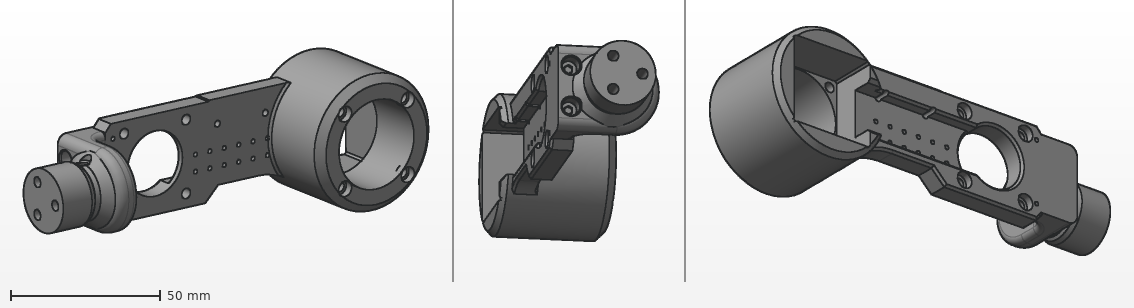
import cadquery as cq
import math


HOUSING_RADIUS = 24.0
HOUSING_LENGTH = 39.0
FRONT_BEVEL = 2.0
BACK_BEVEL = 2.9
POCKET_SIDE = 32.5
POCKET_DEPTH = 18.3
POCKET_CORNER = 0.8
MOTOR_BORE_RADIUS = 15.7
MOTOR_SCREW_OFFSET = 13.1
MOTOR_SCREW_RADIUS = 1.8
MOTOR_HEAD_RADIUS = 2.7
MOTOR_HEAD_DEPTH = 3.0

ARM_FRONT = 3.6
ARM_THICKNESS = 7.9
ARM_BACK = ARM_FRONT + ARM_THICKNESS
ARM_HALF_WIDTH = 18.0
ARM_START = -15.1
ARM_END = -93.0
ARM_END_CHAMFER = 2.7
RIM_CHAMFER = 0.9
NECK_BOTTOM = -12.5
NECK_START = -28.7
NECK_END = -45.8
NECK_BLEND_RADIUS = 22.6
TOP_STEP_Y = -49.8
TOP_STEP = 0.5

GROOVE_HALF_WIDTH = 8.9
GROOVE_DEPTH = 4.7
GROOVE_FLOOR = ARM_FRONT + GROOVE_DEPTH
GROOVE_MOUTH_BEVEL = 1.4

ELBOW_Y = -72.2
ELBOW_BORE_RADIUS = 11.5
ELBOW_SCREW_OFFSET = 13.0
ELBOW_SCREW_RADIUS = 1.8
ELBOW_HEAD_RADIUS = 3.0
ELBOW_HEAD_DEPTH = 3.0
PILOT_RADIUS = 0.8
PILOT_COLUMNS = 6
PILOT_ROWS = 2
PILOT_PITCH = 6.0
PILOT_START_Y = -25.0
LOCATING_Y = -89.8
LOCATING_Z = 12.1
CABLE_HOLE_RADIUS = 1.13
CABLE_HOLE_Z = 9.0
CABLE_HOLE_YS = (-26.0, -46.0)

WRIST_HALF_WIDTH = 14.8
WRIST_DOME_X = 23.7
WRIST_OUTER_Y = -107.2
WRIST_INNER_Y = -99.0
WRIST_OVERLAP_Y = -87.6
WRIST_CORNER_RADIUS = 5.7
WRIST_OUTER_FILLET = 3.6
WRIST_INNER_FILLET = 2.4

SHAFT_X = 22.0
SHAFT_RADIUS = 11.2
SHAFT_END = HOUSING_RADIUS - 151
SHAFT_SEAT = -112.2
SHOULDER_Y = -113.1
SHOULDER_RADIUS = 10.4
SHAFT_BODY_Y = -114.9
SEAT_RADIUS = 9.4
PLUG_RADIUS = 8.9
PLUG_END = -104.2
HUB_ROOT_Y = -106.5
HUB_ROOT_HALF_LENGTH = 14.5
HUB_ROOT_HALF_HEIGHT = 13.5
HUB_NECK_Y = -110.4
HUB_NECK_RADIUS = 10.0
SHAFT_HOLES = 3
SHAFT_HOLE_CIRCLE = 6.6
SHAFT_HOLE_RADIUS = 1.8
SETSCREW_Y = -110.0
SETSCREW_RADIUS = 1.8
SETSCREW_CHAMFER = 0.6
SETSCREW_MOUTH_Z = 10.3

SCREW_X = 8.0
SCREW_ZS = (-7.1, 7.1)
SCREW_WELL_RADIUS = 3.0
SCREW_WELL_CHAMFER = 0.5
SCREW_WELL_DEPTH = 8.2
SCREW_HEAD_RADIUS = 2.7
SCREW_HEAD_HEIGHT = 3.0
SCREW_SHANK_RADIUS = 1.5
SCREW_SHANK_LENGTH = 10.0
SOCKET_CORNER_RADIUS = 1.5
SOCKET_DEPTH = 1.5
SCREW_SEAT_Y = WRIST_OUTER_Y + SCREW_WELL_DEPTH


def x_cylinder(points, radius, x_start, x_end):
    """Cylinders along X, one at each (y, z) point."""
    plane = cq.Workplane("YZ", origin=(x_start, 0, 0))
    return plane.pushPoints(points).circle(radius).extrude(x_end - x_start)


def y_revolved(profile, x, z):
    """Body of revolution about the Y direction through (x, z); profile lists (radius, y)."""
    solid = cq.Workplane("XY").polyline(profile).close().revolve(360, (0, 0, 0), (0, 1, 0))
    return solid.translate((x, 0, z))


def x_countersink(y, large_radius, depth, x_start):
    """45 degree cone along X that narrows from x_start."""
    x_end = x_start + depth
    profile = [(x_start, 0), (x_start, large_radius), (x_end, large_radius - depth), (x_end, 0)]
    cone = cq.Workplane("XY").polyline(profile).close().revolve(360, (0, 0, 0), (1, 0, 0))
    return cone.translate((0, y, 0))


def square_pattern(y, offset):
    return [(y + i * offset, j * offset) for i in (-1, 1) for j in (-1, 1)]


def housing_drum():
    drum = x_cylinder([(0, 0)], HOUSING_RADIUS, 0, HOUSING_LENGTH)
    return drum.faces("<X").chamfer(FRONT_BEVEL).faces(">X").chamfer(BACK_BEVEL)


def motor_cavity():
    cavity = (
        cq.Workplane("YZ")
        .rect(POCKET_SIDE, POCKET_SIDE)
        .extrude(POCKET_DEPTH)
        .edges("|X")
        .chamfer(POCKET_CORNER)
    )
    corners = square_pattern(0, MOTOR_SCREW_OFFSET)
    bore = x_cylinder([(0, 0)], MOTOR_BORE_RADIUS, 0, HOUSING_LENGTH)
    screws = x_cylinder(corners, MOTOR_SCREW_RADIUS, 0, HOUSING_LENGTH)
    heads = x_cylinder(corners, MOTOR_HEAD_RADIUS, HOUSING_LENGTH - MOTOR_HEAD_DEPTH, HOUSING_LENGTH)
    return cavity.union(bore).union(screws).union(heads)


def arm_outline():
    """Side outline of the plate, in Y and Z."""
    blend_center_z = NECK_BOTTOM - NECK_BLEND_RADIUS
    flare = NECK_BOTTOM + ARM_HALF_WIDTH

    def blend_point(y):
        return y, blend_center_z + math.sqrt(NECK_BLEND_RADIUS**2 - (y - NECK_START) ** 2)

    return (
        cq.Workplane("YZ", origin=(ARM_FRONT, 0, 0))
        .moveTo(ARM_START, ARM_HALF_WIDTH)
        .lineTo(ARM_END + ARM_END_CHAMFER, ARM_HALF_WIDTH)
        .lineTo(ARM_END, WRIST_HALF_WIDTH)
        .lineTo(ARM_END, -WRIST_HALF_WIDTH)
        .lineTo(ARM_END + ARM_END_CHAMFER, -ARM_HALF_WIDTH)
        .lineTo(NECK_END - flare, -ARM_HALF_WIDTH)
        .lineTo(NECK_END, NECK_BOTTOM)
        .lineTo(NECK_START, NECK_BOTTOM)
        .threePointArc(blend_point((NECK_START + ARM_START) / 2), blend_point(ARM_START))
        .close()
    )


def arm_plate():
    plate = arm_outline().extrude(ARM_THICKNESS).faces("<X").chamfer(RIM_CHAMFER)
    step_z = ARM_HALF_WIDTH - TOP_STEP
    step = (
        cq.Workplane("YZ")
        .moveTo(TOP_STEP_Y, step_z)
        .lineTo(TOP_STEP_Y + TOP_STEP, ARM_HALF_WIDTH)
        .lineTo(ARM_END, ARM_HALF_WIDTH)
        .lineTo(ARM_END, step_z)
        .close()
        .extrude(HOUSING_LENGTH)
    )
    return plate.cut(step)


def drum_bevel():
    """Small 45 degree bevel where the back of the plate meets the drum."""
    ring = x_countersink(0, HOUSING_RADIUS + RIM_CHAMFER, RIM_CHAMFER, ARM_BACK)
    return ring.intersect(arm_outline().extrude(HOUSING_LENGTH))


def arm_groove():
    """Channel from the motor pocket to the elbow bore, with bevelled rims on drum and arm."""

    def channel(y_start, mouth_x, bevel):
        half = [
            (mouth_x, GROOVE_HALF_WIDTH + bevel),
            (mouth_x + bevel, GROOVE_HALF_WIDTH),
            (GROOVE_FLOOR, GROOVE_HALF_WIDTH),
        ]
        other_half = [(x, -z) for x, z in reversed(half)]
        plane = cq.Workplane("XZ", origin=(0, y_start, 0))
        return plane.polyline(half + other_half).close().extrude(y_start - ELBOW_Y)

    rim_half_width = GROOVE_HALF_WIDTH + RIM_CHAMFER
    drum_edge_y = -math.sqrt(HOUSING_RADIUS**2 - rim_half_width**2)
    return channel(0, 0, GROOVE_MOUTH_BEVEL).union(channel(drum_edge_y, ARM_FRONT, RIM_CHAMFER))


def elbow_openings():
    """Large bore with its ring of counterbored holes; the bore is bevelled at both floor levels."""
    bore = x_cylinder([(ELBOW_Y, 0)], ELBOW_BORE_RADIUS, 0, HOUSING_LENGTH)
    rim_radius = ELBOW_BORE_RADIUS + RIM_CHAMFER
    arm_bevel = x_countersink(ELBOW_Y, rim_radius, RIM_CHAMFER, ARM_FRONT)
    groove_span = cq.Workplane("XY").box(
        HOUSING_LENGTH, 2 * rim_radius, 2 * GROOVE_HALF_WIDTH, centered=(False, False, True)
    ).translate((0, ELBOW_Y, 0))
    groove_bevel = x_countersink(ELBOW_Y, rim_radius, RIM_CHAMFER, GROOVE_FLOOR).intersect(groove_span)
    corners = square_pattern(ELBOW_Y, ELBOW_SCREW_OFFSET)
    screws = x_cylinder(corners, ELBOW_SCREW_RADIUS, 0, ARM_BACK)
    heads = x_cylinder(corners, ELBOW_HEAD_RADIUS, 0, ARM_FRONT + ELBOW_HEAD_DEPTH)
    return bore.union(arm_bevel).union(groove_bevel).union(screws).union(heads)


def small_arm_holes():
    pilots = [
        (PILOT_START_Y - column * PILOT_PITCH, -row * PILOT_PITCH)
        for column in range(PILOT_COLUMNS)
        for row in range(PILOT_ROWS)
    ]
    locating = [(LOCATING_Y, side * LOCATING_Z) for side in (-1, 1)]
    cable = [(y, CABLE_HOLE_Z) for y in CABLE_HOLE_YS]
    small = x_cylinder(pilots + locating, PILOT_RADIUS, ARM_FRONT, ARM_BACK)
    return small.union(x_cylinder(cable, CABLE_HOLE_RADIUS, ARM_FRONT, ARM_BACK))


def wrist_bracket():
    """L-shaped bracket with a round end, its edges rounded inside and out."""
    dome_end = WRIST_DOME_X + WRIST_HALF_WIDTH
    ell = (
        cq.Workplane("XY", origin=(0, 0, -WRIST_HALF_WIDTH))
        .moveTo(ARM_FRONT, WRIST_OUTER_Y)
        .lineTo(dome_end, WRIST_OUTER_Y)
        .lineTo(dome_end, WRIST_INNER_Y)
        .lineTo(ARM_BACK + WRIST_CORNER_RADIUS, WRIST_INNER_Y)
        .radiusArc((ARM_BACK, WRIST_INNER_Y + WRIST_CORNER_RADIUS), WRIST_CORNER_RADIUS)
        .lineTo(ARM_BACK, WRIST_OVERLAP_Y)
        .lineTo(ARM_FRONT, WRIST_OVERLAP_Y)
        .close()
        .extrude(2 * WRIST_HALF_WIDTH)
    )
    rounded_end = (
        cq.Workplane("XZ", origin=(0, WRIST_OVERLAP_Y, 0))
        .moveTo(ARM_FRONT, WRIST_HALF_WIDTH)
        .lineTo(WRIST_DOME_X, WRIST_HALF_WIDTH)
        .threePointArc((dome_end, 0), (WRIST_DOME_X, -WRIST_HALF_WIDTH))
        .lineTo(ARM_FRONT, -WRIST_HALF_WIDTH)
        .close()
        .extrude(WRIST_OVERLAP_Y - WRIST_OUTER_Y)
    )
    bracket = ell.intersect(rounded_end)
    straight_middle_x = (ARM_BACK + WRIST_DOME_X) / 2
    for y, radius in ((WRIST_OUTER_Y, WRIST_OUTER_FILLET), (WRIST_INNER_Y, WRIST_INNER_FILLET)):
        edge = cq.selectors.NearestToPointSelector((straight_middle_x, y, WRIST_HALF_WIDTH))
        bracket = bracket.edges(edge).fillet(radius)
    return bracket


def hub():
    """Flared foot, elliptical at the bracket, with a short tapered neck under the shaft."""
    foot = (
        cq.Workplane("XZ", origin=(SHAFT_X, HUB_ROOT_Y, 0))
        .ellipse(HUB_ROOT_HALF_LENGTH, HUB_ROOT_HALF_HEIGHT)
        .workplane(offset=HUB_ROOT_Y - HUB_NECK_Y)
        .circle(HUB_NECK_RADIUS)
        .loft(ruled=True)
    )
    neck = (
        cq.Workplane("XZ", origin=(SHAFT_X, HUB_NECK_Y, 0))
        .circle(HUB_NECK_RADIUS)
        .workplane(offset=HUB_NECK_Y - SHAFT_SEAT)
        .circle(SEAT_RADIUS)
        .loft(ruled=True)
    )
    return foot.union(neck)


def shaft_bolt_holes():
    """Holes on a circle around the shaft axis, through the shaft and the bracket behind it."""
    return (
        cq.Workplane("XZ", origin=(SHAFT_X, WRIST_INNER_Y, 0))
        .polarArray(SHAFT_HOLE_CIRCLE, 0, 360, SHAFT_HOLES)
        .circle(SHAFT_HOLE_RADIUS)
        .extrude(WRIST_INNER_Y - SHAFT_END)
    )


def plug_socket():
    profile = [(0, SHAFT_SEAT), (PLUG_RADIUS, SHAFT_SEAT), (PLUG_RADIUS, PLUG_END), (0, PLUG_END)]
    return y_revolved(profile, SHAFT_X, 0)


def setscrew_hole():
    """Radial hole in the top of the hub, widened at its mouth."""
    plane = cq.Workplane("XY", origin=(SHAFT_X, SETSCREW_Y, 0))
    hole = plane.circle(SETSCREW_RADIUS).extrude(WRIST_HALF_WIDTH)
    mouth = (
        plane.workplane(offset=SETSCREW_MOUTH_Z - SETSCREW_CHAMFER)
        .circle(SETSCREW_RADIUS)
        .workplane(offset=SETSCREW_CHAMFER)
        .circle(SETSCREW_RADIUS + SETSCREW_CHAMFER)
        .loft()
    )
    return hole.union(mouth).union(
        plane.workplane(offset=SETSCREW_MOUTH_Z)
        .circle(SETSCREW_RADIUS + SETSCREW_CHAMFER)
        .extrude(WRIST_HALF_WIDTH - SETSCREW_MOUTH_Z)
    )


def screw_well(z):
    """Chamfered counterbore and shank hole; it also clears the flank of the hub."""
    rim_radius = SCREW_WELL_RADIUS + SCREW_WELL_CHAMFER
    shank_end = SCREW_SEAT_Y + SCREW_SHANK_LENGTH
    profile = [
        (0, SHAFT_SEAT),
        (rim_radius, SHAFT_SEAT),
        (rim_radius, WRIST_OUTER_Y),
        (SCREW_WELL_RADIUS, WRIST_OUTER_Y + SCREW_WELL_CHAMFER),
        (SCREW_WELL_RADIUS, SCREW_SEAT_Y),
        (SCREW_SHANK_RADIUS, SCREW_SEAT_Y),
        (SCREW_SHANK_RADIUS, shank_end),
        (0, shank_end),
    ]
    return y_revolved(profile, SCREW_X, z)


def build_arm():
    arm = housing_drum().union(arm_plate()).union(drum_bevel()).union(wrist_bracket()).union(hub())
    arm = arm.cut(motor_cavity()).cut(arm_groove()).cut(elbow_openings()).cut(small_arm_holes())
    arm = arm.cut(setscrew_hole()).cut(plug_socket()).cut(shaft_bolt_holes())
    for z in SCREW_ZS:
        arm = arm.cut(screw_well(z))
    return arm


def build_shaft():
    profile = [
        (0, PLUG_END),
        (PLUG_RADIUS, PLUG_END),
        (PLUG_RADIUS, SHAFT_SEAT),
        (SEAT_RADIUS, SHAFT_SEAT),
        (SHOULDER_RADIUS, SHOULDER_Y),
        (SHAFT_RADIUS, SHAFT_BODY_Y),
        (SHAFT_RADIUS, SHAFT_END),
        (0, SHAFT_END),
    ]
    return y_revolved(profile, SHAFT_X, 0).cut(shaft_bolt_holes())


def build_screw(z):
    """Socket head screw seated on the floor of its well."""
    head_top = SCREW_SEAT_Y - SCREW_HEAD_HEIGHT
    shank_end = SCREW_SEAT_Y + SCREW_SHANK_LENGTH
    profile = [
        (0, head_top),
        (SCREW_HEAD_RADIUS, head_top),
        (SCREW_HEAD_RADIUS, SCREW_SEAT_Y),
        (SCREW_SHANK_RADIUS, SCREW_SEAT_Y),
        (SCREW_SHANK_RADIUS, shank_end),
        (0, shank_end),
    ]
    socket = (
        cq.Workplane("XZ", origin=(SCREW_X, head_top, z))
        .transformed(rotate=(0, 0, 90))
        .polygon(6, 2 * SOCKET_CORNER_RADIUS)
        .extrude(-SOCKET_DEPTH)
    )
    return y_revolved(profile, SCREW_X, z).cut(socket)


arm = build_arm()
shaft = build_shaft()
screws = [build_screw(z) for z in SCREW_ZS]
result = cq.Compound.makeCompound([arm.val(), shaft.val(), *[screw.val() for screw in screws]])